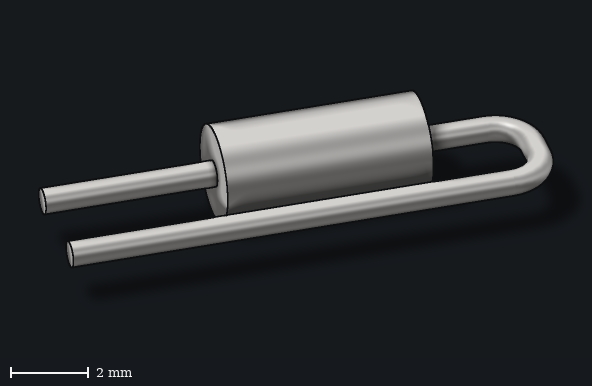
import cadquery as cq

body_diameter = 2.6
body_length = 5.51
wire_diameter = 0.7
lead_pitch = 2.53
bend_radius = 1.0
total_length = 13.19
front_lead_length = 4.59

wire_radius = wire_diameter / 2
crest_y = total_length - wire_radius
bend_start_y = crest_y - bend_radius
body_back_y = front_lead_length + body_length


def make_body():
    """Solid cylinder around the first lead axis."""
    plane = cq.Workplane("XZ", origin=(0, body_back_y, 0))
    return plane.circle(body_diameter / 2).extrude(body_length)


def make_wire():
    """Round wire through the body, folded back beside it by two quarter bends."""
    diagonal = bend_radius * 0.5 ** 0.5
    bend_mid_y = bend_start_y + diagonal
    first_center_x = bend_radius
    second_center_x = lead_pitch - bend_radius
    path = (
        cq.Workplane("XY")
        .moveTo(0, 0)
        .lineTo(0, bend_start_y)
        .threePointArc((first_center_x - diagonal, bend_mid_y), (first_center_x, crest_y))
        .lineTo(second_center_x, crest_y)
        .threePointArc((second_center_x + diagonal, bend_mid_y), (lead_pitch, bend_start_y))
        .lineTo(lead_pitch, 0)
    )
    return cq.Workplane("XZ").circle(wire_radius).sweep(path)


result = make_body().union(make_wire())